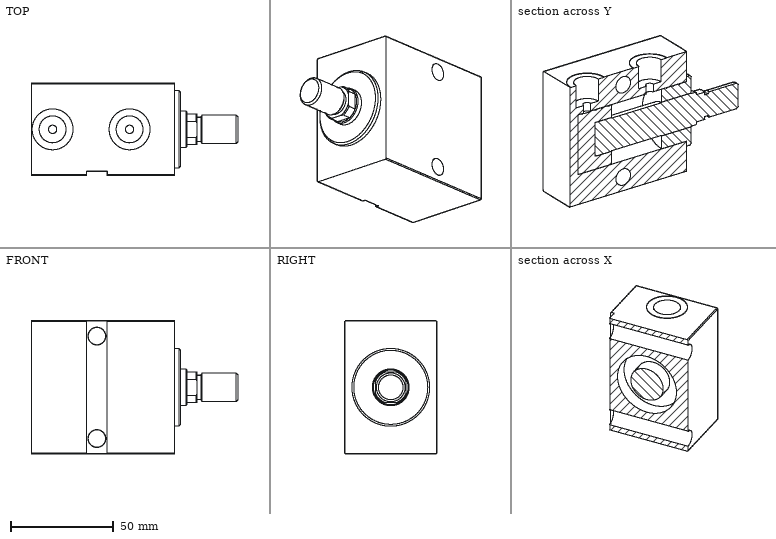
import cadquery as cq


HOUSING_LENGTH = 70.0
HOUSING_WIDTH = 45.0
HOUSING_HEIGHT = 65.0
EDGE_CHAMFER = 0.5

BORE_DIAMETER = 32.0
BORE_REAR_WALL = 5.0

FIRST_PORT_X = 10.4
PORT_SPACING = 37.6
PORT_POSITIONS = [FIRST_PORT_X, FIRST_PORT_X + PORT_SPACING]
SPOTFACE_DIAMETER = 20.0
SPOTFACE_DEPTH = 0.2
PORT_DIAMETER = 13.1
PORT_DEPTH = 12.1
OIL_PASSAGE_DIAMETER = 4.0

KEYWAY_X = 32.0
KEYWAY_WIDTH = 10.0
KEYWAY_DEPTH = 2.0
MOUNTING_HOLE_DIAMETER = 8.5
MOUNTING_HOLE_SPACING = 50.0

GLAND_FLANGE_DIAMETER = 38.0
GLAND_FLANGE_THICKNESS = 2.9
GLAND_FLANGE_CHAMFER = 0.9
GLAND_SPIGOT_LENGTH = 15.2

PISTON_LENGTH = 20.2
ROD_SOCKET_DEPTH = 10.1

ROD_DIAMETER = 18.0
ROD_PROTRUSION = 6.0
ROD_CHAMFER = 0.5
WRENCH_SECTION_DIAMETER = ROD_DIAMETER - 2 * ROD_CHAMFER
WRENCH_SECTION_LENGTH = 5.0
WRENCH_CHAMFER = 0.5
ACROSS_FLATS = 15.0
NECK_DIAMETER = 12.0
NECK_LENGTH = 1.8
NECK_CONE_LENGTH = 0.6
THREAD_DIAMETER = 14.0
THREAD_CHAMFER = 1.0
OVERALL_LENGTH = 101.0

ROD_REAR_X = BORE_REAR_WALL + PISTON_LENGTH - ROD_SOCKET_DEPTH
WRENCH_REAR_X = HOUSING_LENGTH + ROD_PROTRUSION
WRENCH_FRONT_X = WRENCH_REAR_X + WRENCH_SECTION_LENGTH


def x_cylinder(diameter, start_x, end_x):
    """Solid cylinder on the X axis between two positions."""
    return cq.Workplane("YZ", origin=(start_x, 0, 0)).circle(diameter / 2).extrude(end_x - start_x)


def port_cutter(port_x):
    """Spotface, port and oil passage, from the top face down into the bore."""
    top = cq.Workplane("XY", origin=(port_x, 0, HOUSING_HEIGHT / 2))
    spotface = top.circle(SPOTFACE_DIAMETER / 2).extrude(-SPOTFACE_DEPTH)
    port = top.circle(PORT_DIAMETER / 2).extrude(-PORT_DEPTH)
    passage = top.circle(OIL_PASSAGE_DIAMETER / 2).extrude(-HOUSING_HEIGHT / 2)
    return spotface.union(port).union(passage)


def make_housing():
    block = (
        cq.Workplane("XY")
        .box(HOUSING_LENGTH, HOUSING_WIDTH, HOUSING_HEIGHT)
        .translate((HOUSING_LENGTH / 2, 0, 0))
        .edges("|X")
        .chamfer(EDGE_CHAMFER)
    )
    keyway = (
        cq.Workplane("XY")
        .box(KEYWAY_WIDTH, 2 * KEYWAY_DEPTH, HOUSING_HEIGHT)
        .translate((KEYWAY_X, -HOUSING_WIDTH / 2, 0))
    )
    mounting_holes = (
        cq.Workplane("XZ", origin=(KEYWAY_X, 0, 0))
        .rarray(1, MOUNTING_HOLE_SPACING, 1, 2)
        .circle(MOUNTING_HOLE_DIAMETER / 2)
        .extrude(HOUSING_WIDTH, both=True)
    )
    bore = x_cylinder(BORE_DIAMETER, BORE_REAR_WALL, HOUSING_LENGTH)
    housing = block.cut(keyway).cut(mounting_holes).cut(bore)
    for port_x in PORT_POSITIONS:
        housing = housing.cut(port_cutter(port_x))
    return housing


def make_gland():
    flange_front_x = HOUSING_LENGTH + GLAND_FLANGE_THICKNESS
    spigot_rear_x = HOUSING_LENGTH - GLAND_SPIGOT_LENGTH
    flange = (
        x_cylinder(GLAND_FLANGE_DIAMETER, HOUSING_LENGTH, flange_front_x)
        .faces(">X")
        .chamfer(GLAND_FLANGE_CHAMFER)
    )
    spigot = x_cylinder(BORE_DIAMETER, spigot_rear_x, HOUSING_LENGTH)
    rod_hole = x_cylinder(ROD_DIAMETER, spigot_rear_x, flange_front_x)
    return flange.union(spigot).cut(rod_hole)


def make_piston():
    piston_front_x = BORE_REAR_WALL + PISTON_LENGTH
    piston = x_cylinder(BORE_DIAMETER, BORE_REAR_WALL, piston_front_x)
    return piston.cut(x_cylinder(ROD_DIAMETER, ROD_REAR_X, piston_front_x))


def make_wrench_section():
    """Round section with four flats and a chamfered front end."""
    round_section = (
        x_cylinder(WRENCH_SECTION_DIAMETER, WRENCH_REAR_X, WRENCH_FRONT_X)
        .faces(">X")
        .chamfer(WRENCH_CHAMFER)
    )
    square_bar = (
        cq.Workplane("YZ", origin=(WRENCH_REAR_X, 0, 0))
        .rect(ACROSS_FLATS, ACROSS_FLATS)
        .extrude(WRENCH_SECTION_LENGTH)
    )
    return round_section.intersect(square_bar)


def make_threaded_end():
    """Neck, cone and plain thread cylinder, revolved about the X axis."""
    neck_front_x = WRENCH_FRONT_X + NECK_LENGTH
    neck_radius = NECK_DIAMETER / 2
    thread_radius = THREAD_DIAMETER / 2
    half_profile = [
        (WRENCH_FRONT_X, 0),
        (WRENCH_FRONT_X, neck_radius),
        (neck_front_x, neck_radius),
        (neck_front_x + NECK_CONE_LENGTH, thread_radius),
        (OVERALL_LENGTH - THREAD_CHAMFER, thread_radius),
        (OVERALL_LENGTH, thread_radius - THREAD_CHAMFER),
        (OVERALL_LENGTH, 0),
    ]
    return cq.Workplane("XY").polyline(half_profile).close().revolve(360, (0, 0, 0), (1, 0, 0))


def make_rod():
    shaft = x_cylinder(ROD_DIAMETER, ROD_REAR_X, WRENCH_REAR_X).faces(">X").chamfer(ROD_CHAMFER)
    return shaft.union(make_wrench_section()).union(make_threaded_end())


housing = make_housing()
gland = make_gland()
piston = make_piston()
rod = make_rod()

bodies = [housing, gland, piston, rod]
result = cq.Compound.makeCompound([body.solids().val() for body in bodies])